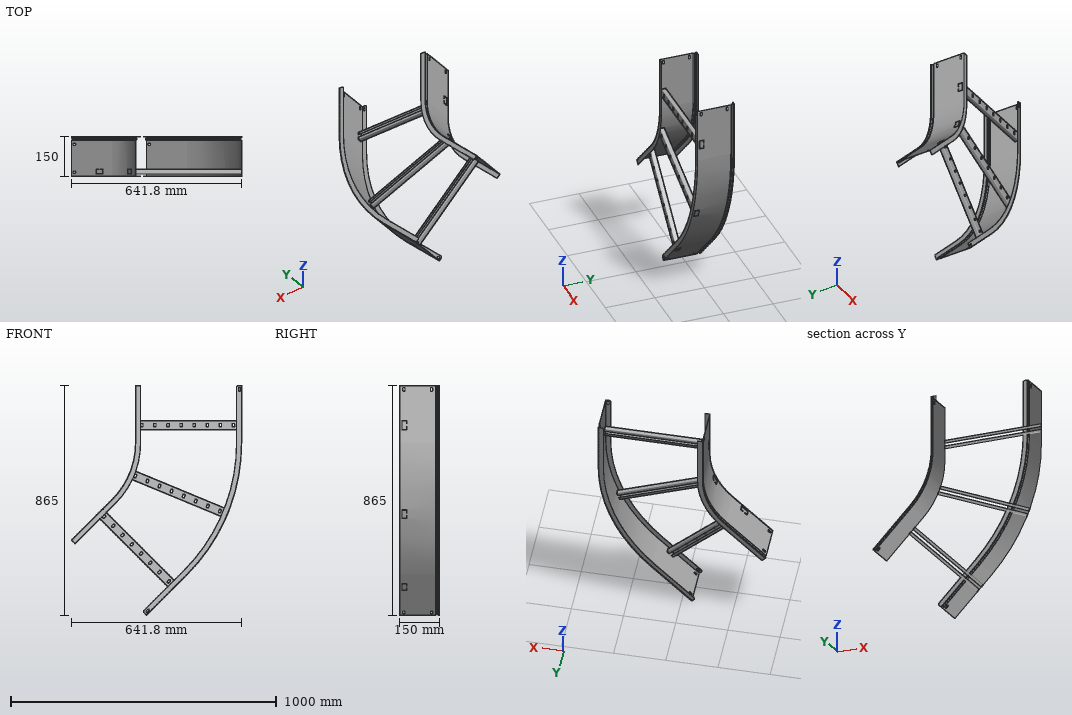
import cadquery as cq
import math

TOTAL_HEIGHT = 865.0
TOTAL_DEPTH = 150.0
BEND_ANGLE = 45.0
INNER_RADIUS = 299.5
LADDER_WIDTH = 401.0
OUTER_RADIUS = INNER_RADIUS + LADDER_WIDTH
BEND_SINE = math.sin(math.radians(BEND_ANGLE))
LEG_LENGTH = (TOTAL_HEIGHT - OUTER_RADIUS * BEND_SINE) / (1 + BEND_SINE)

FRONT_Y = -TOTAL_DEPTH / 2
BACK_Y = TOTAL_DEPTH / 2

RAIL_SHEET = 1.5
FLANGE_WIDTH = 20.0
GROOVE_DEPTH = 5.0
GROOVE_START = 4.0
GROOVE_RAMP = 3.5
GROOVE_FLOOR = 3.5

SPLICE_SLOT_LENGTH = 15.0
SPLICE_SLOT_WIDTH = 7.0
SPLICE_SLOT_FROM_END = 15.0
SPLICE_SLOT_FROM_FRONT = 16.0
SPLICE_SLOT_FROM_BACK = 29.0
FLANGE_SLOT_LENGTH = 15.0
FLANGE_SLOT_WIDTH = 7.0
FLANGE_SLOT_FROM_WEB = 9.5
FLANGE_CORNER_CHAMFER = 4.0

RUNG_HEIGHT = 35.5
RUNG_DEPTH = 19.0
RUNG_SHEET = 2.0
RUNG_BEND = 3.0
RUNG_LIP = 12.0
RUNG_FROM_FRONT = 8.0
RUNG_FROM_BEND = 67.5
RUNG_SLOT_COUNT = 8
RUNG_SLOT_PITCH = 49.0
FIRST_RUNG_SLOT = 24.0
RUNG_SLOT_LENGTH = 15.0
RUNG_SLOT_WIDTH = 8.0


def about_bend_axis(shape, angle):
    return shape.rotate((0, 0, 0), (0, 1, 0), angle)


def along_bend(corners):
    """Carry the XY section with these corners down the top leg, round the bend and down the lower leg."""
    section = cq.Sketch().polygon([*corners, corners[0]])
    top_leg = cq.Workplane("XY").placeSketch(section).extrude(LEG_LENGTH)
    bend = cq.Workplane("XY").placeSketch(section).revolve(BEND_ANGLE, (0, 0, 0), (0, 1, 0))
    lower_leg = about_bend_axis(cq.Workplane("XY").placeSketch(section).extrude(-LEG_LENGTH), BEND_ANGLE)
    return top_leg.union(bend).union(lower_leg)


def at_both_ends(cutter):
    """A cutter placed at the top end, and its mirror image at the lower end."""
    return cutter.union(about_bend_axis(cutter.mirror("XY"), BEND_ANGLE))


def rail_section(web_x, inward):
    """Channel section with its outer web face at web_x and flanges pointing inward (+1 or -1)."""
    groove_edge = BACK_Y - GROOVE_START
    floor_back = groove_edge - GROOVE_RAMP
    floor_front = floor_back - GROOVE_FLOOR
    groove_front = floor_front - GROOVE_RAMP
    grooved_face = [
        (0, groove_front),
        (GROOVE_DEPTH, floor_front),
        (GROOVE_DEPTH, floor_back),
        (0, groove_edge),
    ]
    inner_face = [(depth + RAIL_SHEET, y) for depth, y in reversed(grooved_face)]
    outline = [
        (0, FRONT_Y),
        *grooved_face,
        (0, BACK_Y),
        (FLANGE_WIDTH, BACK_Y),
        (FLANGE_WIDTH, BACK_Y - RAIL_SHEET),
        (RAIL_SHEET, BACK_Y - RAIL_SHEET),
        *inner_face,
        (RAIL_SHEET, FRONT_Y + RAIL_SHEET),
        (FLANGE_WIDTH, FRONT_Y + RAIL_SHEET),
        (FLANGE_WIDTH, FRONT_Y),
    ]
    return [(web_x + inward * depth, y) for depth, y in outline]


def web_slots(web_x):
    """Splice slots through the web, two at each end of a rail."""
    slot_z = LEG_LENGTH - SPLICE_SLOT_FROM_END
    slots = (
        cq.Workplane("YZ", origin=(web_x, 0, slot_z))
        .pushPoints([(FRONT_Y + SPLICE_SLOT_FROM_FRONT, 0), (BACK_Y - SPLICE_SLOT_FROM_BACK, 0)])
        .slot2D(SPLICE_SLOT_LENGTH, SPLICE_SLOT_WIDTH, 90)
        .extrude(2 * RAIL_SHEET, both=True)
    )
    return at_both_ends(slots)


def front_flange_slots(web_x, inward):
    """One slot through the front flange at each end of a rail."""
    slot_x = web_x + inward * FLANGE_SLOT_FROM_WEB
    slot = (
        cq.Workplane("XZ", origin=(slot_x, FRONT_Y, LEG_LENGTH - SPLICE_SLOT_FROM_END))
        .slot2D(FLANGE_SLOT_LENGTH, FLANGE_SLOT_WIDTH, 90)
        .extrude(2 * RAIL_SHEET, both=True)
    )
    return at_both_ends(slot)


def flange_corners(web_x, inward):
    """Chamfer cutters for the free corners of both flanges."""
    corner_x = web_x + inward * FLANGE_WIDTH
    corner = (
        cq.Workplane("XZ", origin=(corner_x, BACK_Y, LEG_LENGTH))
        .polyline([(0, 0), (-inward * FLANGE_CORNER_CHAMFER, 0), (0, -FLANGE_CORNER_CHAMFER)])
        .close()
        .extrude(TOTAL_DEPTH)
    )
    return at_both_ends(corner)


def make_inner_rail():
    rail = along_bend(rail_section(INNER_RADIUS, 1))
    return rail.cut(web_slots(INNER_RADIUS))


def make_outer_rail():
    rail = along_bend(rail_section(OUTER_RADIUS, -1))
    rail = rail.cut(web_slots(OUTER_RADIUS))
    rail = rail.cut(front_flange_slots(OUTER_RADIUS, -1))
    return rail.cut(flange_corners(OUTER_RADIUS, -1))


def make_straight_rung():
    """A rung along X, level with the bend axis and longer than the ladder is wide."""
    length = 2 * LADDER_WIDTH
    middle_x = (INNER_RADIUS + OUTER_RADIUS) / 2
    front_y = FRONT_Y + RUNG_FROM_FRONT
    middle_y = front_y + RUNG_DEPTH / 2
    middle = cq.Workplane("XY", origin=(middle_x, middle_y, 0))
    hollow_depth = RUNG_DEPTH - 2 * RUNG_SHEET
    hollow_height = RUNG_HEIGHT - 2 * RUNG_SHEET
    tube = middle.box(length, RUNG_DEPTH, RUNG_HEIGHT).edges("|X").fillet(RUNG_BEND)
    hollow = middle.box(length, hollow_depth, hollow_height).edges("|X").fillet(RUNG_BEND - RUNG_SHEET)
    mouth = middle.box(length, RUNG_DEPTH, RUNG_HEIGHT - 2 * RUNG_LIP).translate((0, RUNG_DEPTH / 2, 0))
    slots = (
        cq.Workplane("XZ", origin=(INNER_RADIUS + FIRST_RUNG_SLOT, front_y, 0))
        .pushPoints([(index * RUNG_SLOT_PITCH, 0) for index in range(RUNG_SLOT_COUNT)])
        .slot2D(RUNG_SLOT_LENGTH, RUNG_SLOT_WIDTH, 90)
        .extrude(2 * RUNG_SHEET, both=True)
    )
    return tube.cut(hollow).cut(mouth).cut(slots)


def make_rungs():
    """One rung on each leg and one halfway round the bend, ending flush with the outer web faces."""
    envelope = along_bend(
        [(INNER_RADIUS, FRONT_Y), (OUTER_RADIUS, FRONT_Y), (OUTER_RADIUS, BACK_Y), (INNER_RADIUS, BACK_Y)]
    )
    straight = make_straight_rung()
    placed = [
        straight.translate((0, 0, RUNG_FROM_BEND)),
        about_bend_axis(straight, BEND_ANGLE / 2),
        about_bend_axis(straight.translate((0, 0, -RUNG_FROM_BEND)), BEND_ANGLE),
    ]
    return [rung.intersect(envelope) for rung in placed]


rungs = make_rungs()
inner_rail = make_inner_rail()
outer_rail = make_outer_rail()

for rung in rungs:
    inner_rail = inner_rail.cut(rung)
    outer_rail = outer_rail.cut(rung)

result = cq.Compound.makeCompound([inner_rail.val(), outer_rail.val(), *[rung.val() for rung in rungs]])